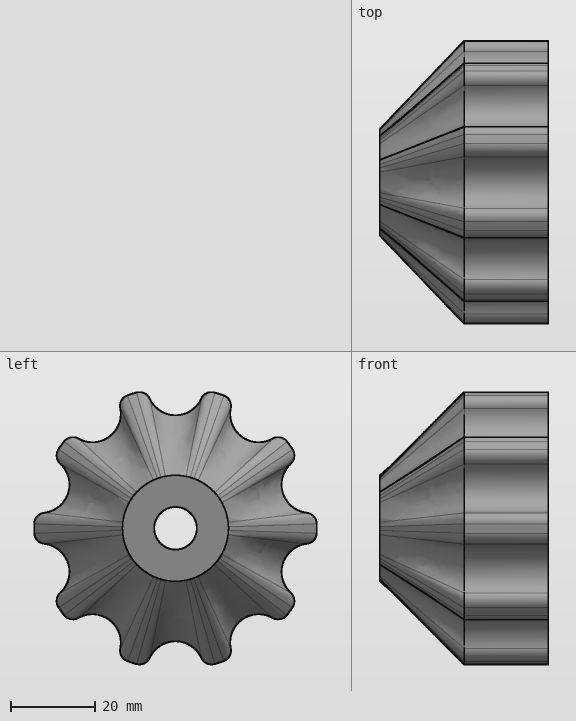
import cadquery as cq
import math

total_length = 40.15
nose_length = total_length / 2
grip_length = total_length - nose_length
lobe_count = 10
outer_radius = 33.6
flute_radius = 6.7
flute_center_radius = 33.6
corner_radius = 2.7
nose_radius = 12.61
bore_diameter = 10.1

lobe_pitch = 2 * math.pi / lobe_count
flute_angle = lobe_pitch / 2
flute_bottom_radius = flute_center_radius - flute_radius

corner_center_radius = outer_radius - corner_radius
center_distance = corner_radius + flute_radius
corner_angle = flute_angle - math.acos(
    (corner_center_radius**2 + flute_center_radius**2 - center_distance**2)
    / (2 * corner_center_radius * flute_center_radius)
)


def polar(radius, angle):
    return (radius * math.cos(angle), radius * math.sin(angle))


def rotated(point, angle):
    return polar(math.hypot(*point), math.atan2(point[1], point[0]) + angle)


def mirrored(point):
    return (point[0], -point[1])


corner_center = polar(corner_center_radius, corner_angle)
flute_center = polar(flute_center_radius, flute_angle)
tip_end = polar(outer_radius, corner_angle)
flute_start = tuple(
    c + (f - c) * corner_radius / center_distance
    for c, f in zip(corner_center, flute_center)
)

flute_direction = math.atan2(
    flute_center[1] - corner_center[1], flute_center[0] - corner_center[0]
)
corner_offset = polar(corner_radius, (corner_angle + flute_direction) / 2)
corner_middle = tuple(c + d for c, d in zip(corner_center, corner_offset))
flute_start_angle = math.atan2(flute_start[1], flute_start[0])


def lobe_arcs():
    """Middle and end point of each arc of one lobe and the flute after it."""
    return [
        ((outer_radius, 0), tip_end),
        (corner_middle, flute_start),
        (polar(flute_bottom_radius, flute_angle), rotated(mirrored(flute_start), lobe_pitch)),
        (rotated(mirrored(corner_middle), lobe_pitch), rotated(mirrored(tip_end), lobe_pitch)),
    ]


def nose_arcs():
    """Nose circle divided at the same polar angles as the lobe outline."""
    ends = [
        -corner_angle,
        corner_angle,
        flute_start_angle,
        lobe_pitch - flute_start_angle,
        lobe_pitch - corner_angle,
    ]
    return [
        (polar(nose_radius, (start + end) / 2), polar(nose_radius, end))
        for start, end in zip(ends, ends[1:])
    ]


def outline(workplane, start, arcs):
    """Closed wire made by repeating the arcs around the axis."""
    sketch = workplane.moveTo(*start)
    for lobe in range(lobe_count):
        turn = lobe * lobe_pitch
        for middle, end in arcs:
            sketch = sketch.threePointArc(rotated(middle, turn), rotated(end, turn))
    return sketch.wire().val()


grip_plane = cq.Workplane("YZ", origin=(nose_length, 0, 0))
grip_wire = outline(grip_plane, mirrored(tip_end), lobe_arcs())
grip = cq.Workplane(cq.Solid.extrudeLinear(grip_wire, [], cq.Vector(grip_length, 0, 0)))

nose_start = polar(nose_radius, -corner_angle)
nose_wire = outline(cq.Workplane("YZ"), nose_start, nose_arcs())
nose = cq.Workplane(cq.Solid.makeLoft([nose_wire, grip_wire], True))

bore = cq.Workplane("YZ").circle(bore_diameter / 2).extrude(total_length)

result = nose.union(grip).cut(bore)